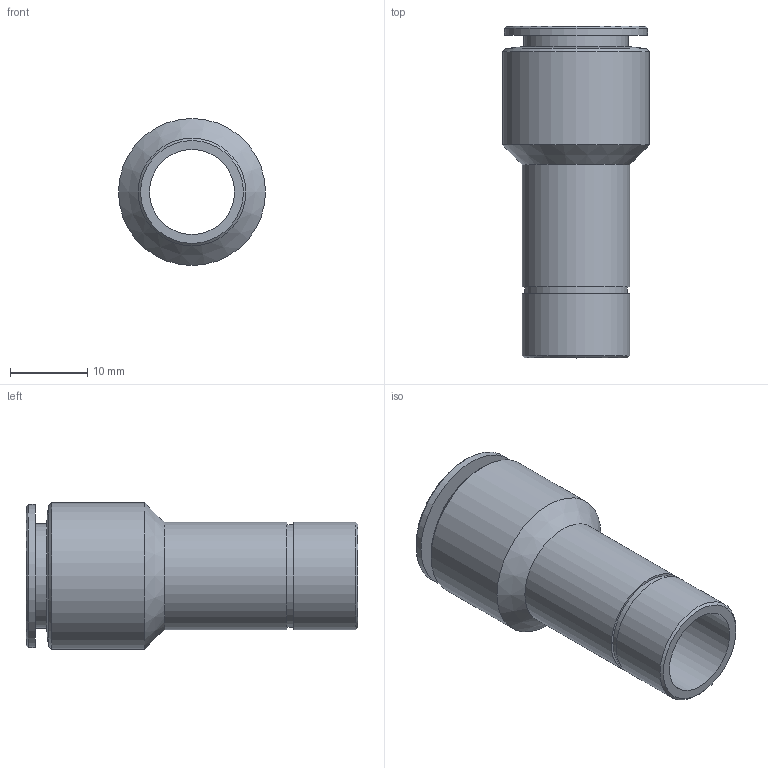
import cadquery as cq

overall_length = 42.9
bore_radius = 11.0 / 2

tube_radius = 13.9 / 2
tube_end_chamfer = 0.3
groove_start = 8.3
groove_width = 0.9
groove_depth = 0.3

body_radius = 19.0 / 2
body_chamfer = 0.4
body_length = 12.45
body_face_rise = 0.25
shoulder_length = body_radius - tube_radius

flange_radius = 18.5 / 2
flange_thickness = 1.2
flange_chamfer = 0.3
neck_radius = 13.5 / 2
neck_length = 1.45

tube_end = -overall_length / 2
collar_end = overall_length / 2
neck_base = collar_end - flange_thickness - neck_length
body_rim = neck_base - body_face_rise
body_base = body_rim - body_length


def sleeve_blank():
    """Solid of revolution with the outer profile of tube, body and collar."""
    profile = [
        (0, tube_end),
        (tube_radius - tube_end_chamfer, tube_end),
        (tube_radius, tube_end + tube_end_chamfer),
        (tube_radius, body_base - shoulder_length),
        (body_radius, body_base),
        (body_radius, body_rim - body_chamfer),
        (body_radius - body_chamfer, body_rim),
        (neck_radius, neck_base),
        (neck_radius, collar_end - flange_thickness),
        (flange_radius, collar_end - flange_thickness),
        (flange_radius, collar_end - flange_chamfer),
        (flange_radius - flange_chamfer, collar_end),
        (0, collar_end),
    ]
    return cq.Workplane("XY").polyline(profile).close().revolve(360, (0, 0, 0), (0, 1, 0))


def disc(radius, start, length):
    """Cylinder on the Y axis running from start towards +Y."""
    cylinder = cq.Solid.makeCylinder(radius, length, cq.Vector(0, start, 0), cq.Vector(0, 1, 0))
    return cq.Workplane(cylinder)


def tube_groove():
    """Ring of material removed from the outside of the tube."""
    start = tube_end + groove_start
    outer = disc(body_radius, start, groove_width)
    return outer.cut(disc(tube_radius - groove_depth, start, groove_width))


through_bore = disc(bore_radius, tube_end, overall_length)
result = sleeve_blank().cut(tube_groove()).cut(through_bore)